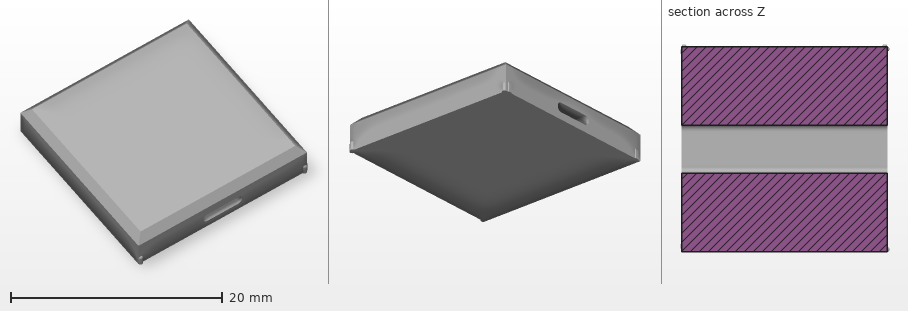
import cadquery as cq

body_side = 19.5
body_height = 3.6
bevel = 0.8

slot_length = 4.5
slot_height = 1.0
slot_center_z = 1.29

rib_width = 0.5
rib_height = 1.0
flat_rib_reach = 0.1
flat_rib_root = 0.3
flat_rib_front_gap = 0.32
flat_rib_back_gap = 0.25
domed_rib_reach = 0.2
domed_rib_top_round = 0.22

half_side = body_side / 2
rib_radius = rib_width / 2
corner_rib_offset = half_side - rib_radius


def make_body():
    block = cq.Workplane("XY").box(body_side, body_side, body_height, centered=(True, True, False))
    return block.faces(">Z").chamfer(bevel)


def make_slot():
    return (
        cq.Workplane("YZ")
        .center(0, slot_center_z)
        .slot2D(slot_length, slot_height)
        .extrude(half_side, both=True)
    )


def make_domed_rib():
    """Round post with a rounded top, its axis at the origin."""
    post = cq.Workplane("XY").circle(rib_radius).extrude(rib_height)
    return post.faces(">Z").edges().fillet(domed_rib_top_round)


def make_flat_rib():
    """Flat rib facing -X, its root at the origin, rounded on the top and both flanks."""
    depth = flat_rib_root + flat_rib_reach
    block = cq.Workplane("XY").box(depth, rib_width, rib_height, centered=(True, True, False))
    rounded = block.faces("<X").edges("not <Z").fillet(flat_rib_reach)
    return rounded.translate((-depth / 2, 0, 0))


result = make_body().cut(make_slot())

domed_axis = half_side + domed_rib_reach - rib_radius
for offset in (-corner_rib_offset, corner_rib_offset):
    result = result.union(make_domed_rib().translate((domed_axis, offset, 0)))
    result = result.union(make_domed_rib().translate((offset, domed_axis, 0)))

flat_root_x = flat_rib_root - half_side
for offset in (flat_rib_front_gap - corner_rib_offset, corner_rib_offset - flat_rib_back_gap):
    result = result.union(make_flat_rib().translate((flat_root_x, offset, 0)))